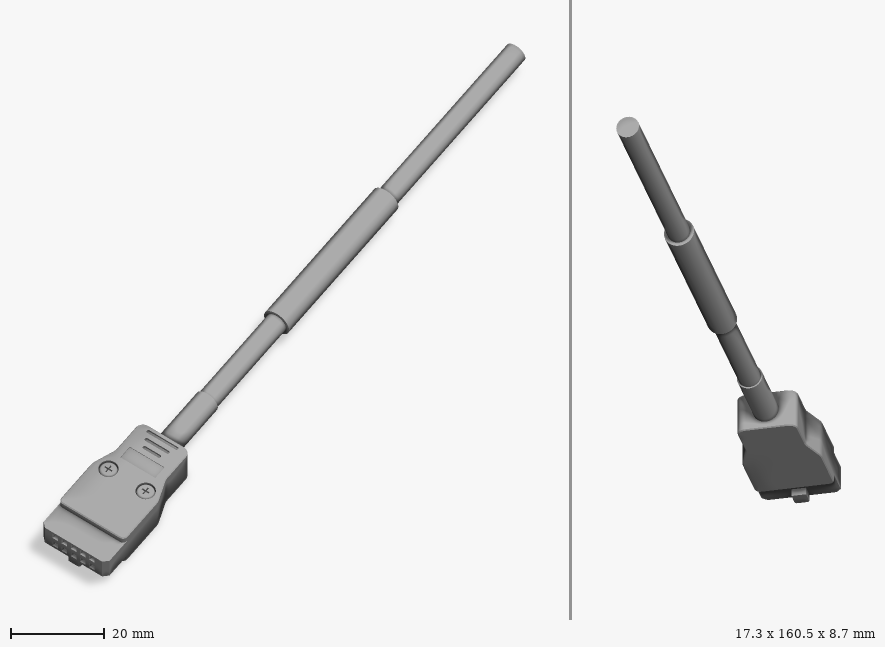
import cadquery as cq

HOUSING_WIDTH = 17.3
HOUSING_HEIGHT = 8.7
HOUSING_BACK = 33.5
NECK_WIDTH = 13.2
NECK_BACK_RADIUS = 2.0
TAPER_START = 18.8
TAPER_END = 24.4
TAPER_WIDE_RADIUS = 4.0
TAPER_NECK_RADIUS = 2.7
COVER_FRONT = 6.5
COVER_CORNER_RADIUS = 1.1
COVER_EDGE_CHAMFER = 0.24

NOSE_FRONT = 0
NOSE_HEIGHT = 5.5
NOSE_CHAMFER = 1.1
KEY_WIDTH = 3.2
KEY_LENGTH = 3.4
KEY_CORNER_RADIUS = 0.5

SOCKET_COLUMNS = 5
SOCKET_PITCH = 2.4
SOCKET_ROW_SPACING = 2.7
FUNNEL_SIZE = 1.5
FUNNEL_DEPTH = 0.5
SOCKET_SIZE = 0.88
SOCKET_DEPTH = 4.8

SCREW_SPACING = 9.8
SCREW_Y = 19.5
SCREW_HOLE_DIAMETER = 4.3
SCREW_HEAD_DIAMETER = 4.0
SCREW_HEAD_HEIGHT = 1.3
SCREW_CROWN_DIAMETER = 2.5
CROSS_LENGTH = 2.0
CROSS_WIDTH = 0.3
CROSS_DEPTH = 0.6

LABEL_WIDTH = 9.1
LABEL_LENGTH = 3.4
LABEL_Y = 25.0
LABEL_DEPTH = 0.2
GROOVE_LENGTH = 0.8
GROOVE_DEPTH = 0.5
GROOVE_PITCH = 2.0
GROOVE_FIRST_Y = 32.3
GROOVE_FIRST_WIDTH = 8.2
GROOVE_WIDTH_STEP = 1.8
GROOVE_COUNT = 3

CABLE_DIAMETER = 5.0
CABLE_END = 160.5
BOOT_DIAMETER = 5.6
BOOT_END = 48.5
SLEEVE_DIAMETER = 6.6
SLEEVE_START = 73.7
SLEEVE_END = 113.3

HOUSING_TOP = HOUSING_HEIGHT / 2


def box(width, y_start, y_end, z_start, z_end):
    """Block centred on X between the given Y and Z limits."""
    return (
        cq.Workplane("XY")
        .box(width, y_end - y_start, z_end - z_start, centered=(True, False, False))
        .translate((0, y_start, z_start))
    )


def cylinder(diameter, y_start, y_end):
    """Round bar on the Y axis."""
    return (
        cq.Workplane("XZ", origin=(0, y_start, 0))
        .circle(diameter / 2)
        .extrude(y_start - y_end)
    )


def round_uprights(body, y, radius):
    """Round the vertical edges at a given Y position."""
    margin = 0.02
    picker = cq.selectors.BoxSelector(
        (-HOUSING_WIDTH, y - margin, -HOUSING_HEIGHT),
        (HOUSING_WIDTH, y + margin, HOUSING_HEIGHT),
    )
    return body.edges("|Z").edges(picker).fillet(radius)


def make_cover():
    wide = HOUSING_WIDTH / 2
    neck = NECK_WIDTH / 2
    cover = (
        cq.Workplane("XY", origin=(0, 0, -HOUSING_TOP))
        .moveTo(-wide, COVER_FRONT)
        .lineTo(wide, COVER_FRONT)
        .lineTo(wide, TAPER_START)
        .lineTo(neck, TAPER_END)
        .lineTo(neck, HOUSING_BACK)
        .lineTo(-neck, HOUSING_BACK)
        .lineTo(-neck, TAPER_END)
        .lineTo(-wide, TAPER_START)
        .close()
        .extrude(HOUSING_HEIGHT)
    )
    cover = round_uprights(cover, COVER_FRONT, COVER_CORNER_RADIUS)
    cover = round_uprights(cover, TAPER_START, TAPER_WIDE_RADIUS)
    cover = round_uprights(cover, TAPER_END, TAPER_NECK_RADIUS)
    cover = round_uprights(cover, HOUSING_BACK, NECK_BACK_RADIUS)
    return cover.faces("|Z").edges().chamfer(COVER_EDGE_CHAMFER)


def make_nose():
    nose_back = COVER_FRONT + 2 * COVER_CORNER_RADIUS
    nose = box(HOUSING_WIDTH, NOSE_FRONT, nose_back, -NOSE_HEIGHT / 2, NOSE_HEIGHT / 2)
    return nose.edges("|Z and <Y").chamfer(NOSE_CHAMFER)


def make_key():
    key = box(KEY_WIDTH, NOSE_FRONT, KEY_LENGTH, -HOUSING_TOP, -NOSE_HEIGHT / 2)
    return key.edges("|Z and <Y").fillet(KEY_CORNER_RADIUS)


def cut_sockets(body):
    """Cut the grid of square sockets, each tapering down from its mouth to a straight hole."""
    mouth = cq.Workplane("XZ", origin=(0, NOSE_FRONT, 0)).rect(FUNNEL_SIZE, FUNNEL_SIZE)
    funnel = mouth.workplane(offset=-FUNNEL_DEPTH).rect(SOCKET_SIZE, SOCKET_SIZE).loft(ruled=True)
    hole = box(SOCKET_SIZE, NOSE_FRONT, NOSE_FRONT + SOCKET_DEPTH, -SOCKET_SIZE / 2, SOCKET_SIZE / 2)
    socket = funnel.union(hole)
    for column in range(SOCKET_COLUMNS):
        x = (column - (SOCKET_COLUMNS - 1) / 2) * SOCKET_PITCH
        for z in (-SOCKET_ROW_SPACING / 2, SOCKET_ROW_SPACING / 2):
            body = body.cut(socket.translate((x, 0, z)))
    return body


def make_screw_head():
    """Round head standing on Z = 0, with a cross recess in its top."""
    head = cq.Workplane("XY").circle(SCREW_HEAD_DIAMETER / 2).extrude(SCREW_HEAD_HEIGHT)
    head = head.faces(">Z").edges().fillet((SCREW_HEAD_DIAMETER - SCREW_CROWN_DIAMETER) / 2)
    for length, width in ((CROSS_LENGTH, CROSS_WIDTH), (CROSS_WIDTH, CROSS_LENGTH)):
        slot = cq.Workplane("XY", origin=(0, 0, SCREW_HEAD_HEIGHT)).rect(length, width)
        head = head.cut(slot.extrude(-CROSS_DEPTH))
    return head


def fit_screw(body, x):
    """Sink a round hole into the top and seat a screw head on its floor."""
    seat = (x, SCREW_Y, HOUSING_TOP - SCREW_HEAD_HEIGHT)
    hole = cq.Workplane("XY", origin=seat).circle(SCREW_HOLE_DIAMETER / 2).extrude(SCREW_HEAD_HEIGHT)
    return body.cut(hole).union(make_screw_head().translate(seat))


def cut_label(body):
    y_start = LABEL_Y - LABEL_LENGTH / 2
    floor = HOUSING_TOP - LABEL_DEPTH
    return body.cut(box(LABEL_WIDTH, y_start, y_start + LABEL_LENGTH, floor, HOUSING_TOP))


def cut_grip_grooves(body):
    """Round-ended grooves across the neck that get narrower away from the cable."""
    for index in range(GROOVE_COUNT):
        y = GROOVE_FIRST_Y - index * GROOVE_PITCH
        width = GROOVE_FIRST_WIDTH - index * GROOVE_WIDTH_STEP
        groove = cq.Workplane("XY", origin=(0, y, HOUSING_TOP)).slot2D(width, GROOVE_LENGTH)
        body = body.cut(groove.extrude(-GROOVE_DEPTH))
    return body


def make_cable():
    boot = cylinder(BOOT_DIAMETER, HOUSING_BACK, BOOT_END)
    cable = cylinder(CABLE_DIAMETER, BOOT_END, CABLE_END)
    sleeve = cylinder(SLEEVE_DIAMETER, SLEEVE_START, SLEEVE_END)
    return boot.union(cable).union(sleeve)


result = make_cover().union(make_nose()).union(make_key())
result = cut_sockets(result)
for side in (-1, 1):
    result = fit_screw(result, side * SCREW_SPACING / 2)
result = cut_label(result)
result = cut_grip_grooves(result)
result = result.union(make_cable())